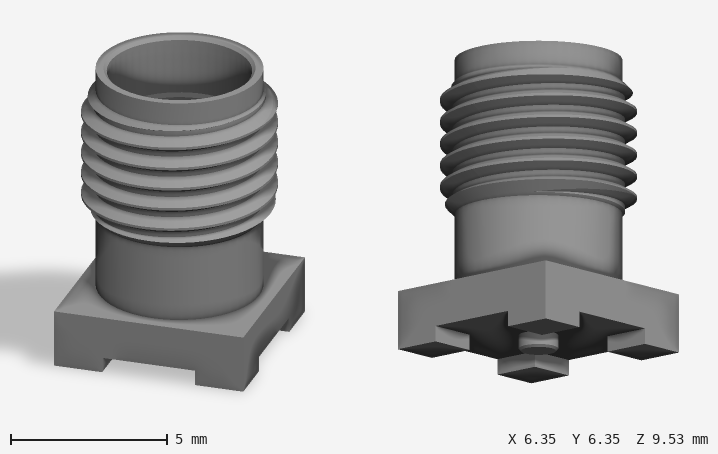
import cadquery as cq
import math

height = 9.53
base_side = 6.35
base_top = 1.91
notch_width = 3.12
notch_depth = 0.505

barrel_diameter = 5.36
bore_diameter = 4.64
bore_depth = 1.94
bore_chamfer = 0.105

insulator_diameter = 3.91
insulator_recess = 0.16
socket_diameter = 0.96
socket_mouth_diameter = 1.04
socket_depth = 0.95
socket_tip_angle = 118.0

pin_diameter = 1.27
pin_chamfer = 0.08

thread_bottom = 4.47
thread_top = 8.77
thread_diameter = 6.29
thread_root_diameter = 5.53
groove_turns = 8
groove_height = 5.68
thread_pitch = groove_height / groove_turns
thread_angle = 60.0
crest_width = 0.09
groove_phase_height = 3.68


def make_base():
    """Square block raised on four corner feet by two crossing notches."""
    block = cq.Workplane("XY").rect(base_side, base_side).extrude(base_top)
    for length_x, length_y in ((base_side, notch_width), (notch_width, base_side)):
        notch = cq.Workplane("XY").rect(length_x, length_y).extrude(notch_depth)
        block = block.cut(notch)
    return block


def make_pin():
    pin = cq.Workplane("XY").circle(pin_diameter / 2).extrude(base_top)
    return pin.faces("<Z").chamfer(pin_chamfer)


def make_barrel():
    """Plain barrel with the thread blank, bevelled at 45 degrees at both ends."""
    barrel_radius = barrel_diameter / 2
    thread_radius = thread_diameter / 2
    bevel = thread_radius - barrel_radius
    outline = [
        (0, base_top),
        (barrel_radius, base_top),
        (barrel_radius, thread_bottom),
        (thread_radius, thread_bottom + bevel),
        (thread_radius, thread_top - bevel),
        (barrel_radius, thread_top),
        (barrel_radius, height),
        (0, height),
    ]
    return cq.Workplane("XZ").polyline(outline).close().revolve(360, (0, 0), (0, 1))


def make_groove_turn():
    """One turn of the trapezoidal helical groove, carried past the crest for a clean cut."""
    root_radius = thread_root_diameter / 2
    outer_overlap = 0.03
    outer_radius = thread_diameter / 2 + outer_overlap
    flank_slope = math.tan(math.radians(thread_angle / 2))
    mouth_half = (thread_pitch - crest_width) / 2
    root_half = mouth_half - (thread_diameter - thread_root_diameter) / 2 * flank_slope
    outer_half = mouth_half + outer_overlap * flank_slope
    profile = [
        (root_radius, groove_phase_height - root_half),
        (outer_radius, groove_phase_height - outer_half),
        (outer_radius, groove_phase_height + outer_half),
        (root_radius, groove_phase_height + root_half),
    ]
    helix = cq.Wire.makeHelix(
        thread_pitch, thread_pitch, root_radius, cq.Vector(0, 0, groove_phase_height)
    )
    return cq.Workplane("XZ").polyline(profile).close().sweep(cq.Workplane(obj=helix), isFrenet=True)


def make_threaded_barrel():
    """Barrel with the groove cut turn by turn, running out at both bevels."""
    barrel = make_barrel()
    groove_turn = make_groove_turn()
    for turn in range(groove_turns):
        barrel = barrel.cut(groove_turn.translate((0, 0, turn * thread_pitch)))
    return barrel


def make_cavity():
    """Bore, insulator recess and conical-ended socket as one revolved cutter."""
    bore_radius = bore_diameter / 2
    insulator_radius = insulator_diameter / 2
    mouth_radius = socket_mouth_diameter / 2
    socket_radius = socket_diameter / 2
    bore_floor = height - bore_depth
    insulator_face = bore_floor - insulator_recess
    socket_floor = insulator_face - socket_depth
    tip_height = socket_radius / math.tan(math.radians(socket_tip_angle / 2))
    outline = [
        (0, height),
        (bore_radius + bore_chamfer, height),
        (bore_radius, height - bore_chamfer),
        (bore_radius, bore_floor),
        (insulator_radius, bore_floor),
        (insulator_radius, insulator_face),
        (mouth_radius, insulator_face),
        (socket_radius, insulator_face - (mouth_radius - socket_radius)),
        (socket_radius, socket_floor),
        (0, socket_floor - tip_height),
    ]
    return cq.Workplane("XZ").polyline(outline).close().revolve(360, (0, 0), (0, 1))


result = make_base().union(make_pin()).union(make_threaded_barrel()).cut(make_cavity())